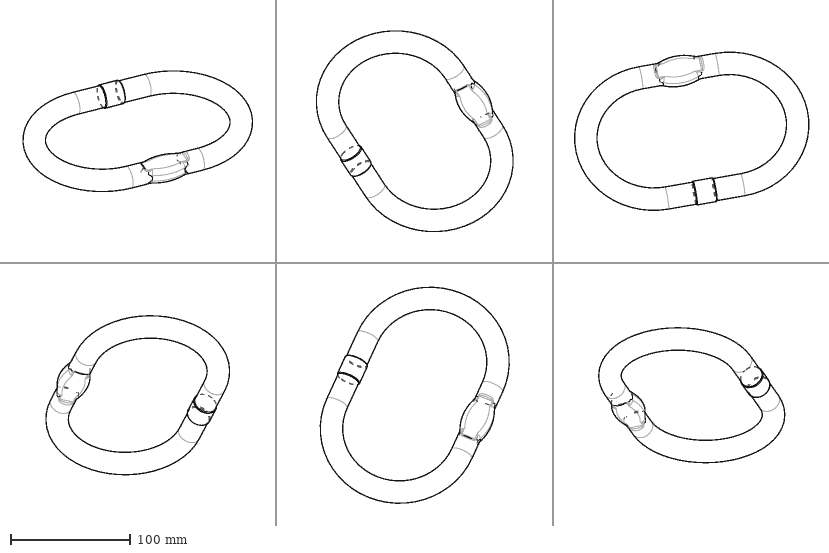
import math

import cadquery as cq

rod_diameter = 19.0
rod_radius = rod_diameter / 2
bend_radius = 57.0
straight_length = 65.0
half_straight = straight_length / 2

collar_diameter = 20.43
collar_length = 17.8

badge_half_width = 12.545
badge_thickness = 14.0
badge_side_radius = 37.5
badge_edge_radius = 4.2
badge_arc_half_length = 14.8
runout_radius = 9.0
runout_angle = 20.0

flat_half_length = 19.6
flat_floor_radius = 1.2
flat_rim_radius = 1.35


def make_ring():
    """Sweep the rod as two straight legs and two half-circle bends."""
    path = (
        cq.Workplane("XY")
        .moveTo(bend_radius, -half_straight)
        .lineTo(bend_radius, half_straight)
        .threePointArc((0, half_straight + bend_radius), (-bend_radius, half_straight))
        .lineTo(-bend_radius, -half_straight)
        .threePointArc((0, -half_straight - bend_radius), (bend_radius, -half_straight))
        .close()
    )
    profile = cq.Workplane("XZ", origin=(bend_radius, -half_straight, 0)).circle(rod_radius)
    return profile.sweep(path)


def make_collar():
    """Sleeve centred on the -X leg, its ends chamfered down to the rod surface."""
    collar_radius = collar_diameter / 2
    return (
        cq.Workplane("XZ", origin=(-bend_radius, 0, 0))
        .circle(collar_radius)
        .extrude(collar_length / 2, both=True)
        .faces("|Y")
        .chamfer(collar_radius - rod_radius)
    )


def make_badge():
    """Oval plate with bulging sides that run out into the rod, rounded along its side edges."""
    side_angle = math.asin(badge_arc_half_length / badge_side_radius)
    arc_end_x = badge_half_width - badge_side_radius * (1 - math.cos(side_angle))

    runout_x = arc_end_x + runout_radius * math.cos(side_angle)
    runout_y = badge_arc_half_length + runout_radius * math.sin(side_angle)

    def runout_point(angle):
        return (runout_x - runout_radius * math.cos(angle), runout_y - runout_radius * math.sin(angle))

    last_angle = side_angle - math.radians(runout_angle)
    mid_x, mid_y = runout_point((side_angle + last_angle) / 2)
    end_x, end_y = runout_point(last_angle)
    start_x, start_y = arc_end_x, badge_arc_half_length

    outline = (
        cq.Workplane("XY", origin=(bend_radius, 0, 0))
        .moveTo(end_x, -end_y)
        .threePointArc((mid_x, -mid_y), (start_x, -start_y))
        .threePointArc((badge_half_width, 0), (start_x, start_y))
        .threePointArc((mid_x, mid_y), (end_x, end_y))
        .lineTo(-end_x, end_y)
        .threePointArc((-mid_x, mid_y), (-start_x, start_y))
        .threePointArc((-badge_half_width, 0), (-start_x, -start_y))
        .threePointArc((-mid_x, -mid_y), (-end_x, -end_y))
        .close()
    )
    plate = outline.extrude(badge_thickness / 2, both=True)
    return plate.faces("|Z").edges("not |X").fillet(badge_edge_radius)


def make_flat_cutter(side):
    """Block that clears the rod above (side = 1) or below (side = -1) the badge face."""
    depth = rod_radius
    centre_z = side * (badge_thickness + depth) / 2
    floor_face = "<Z" if side > 0 else ">Z"
    return (
        cq.Workplane("XY")
        .box(rod_diameter, 2 * flat_half_length, depth)
        .faces(floor_face)
        .edges("|X")
        .fillet(flat_floor_radius)
        .translate((bend_radius, 0, centre_z))
    )


def cut_flat(ring, side):
    """Cut one flat into the +X leg and round the rim where it meets the rod."""
    with_flat = ring.cut(make_flat_cutter(side))
    zone_half_length = flat_half_length + flat_rim_radius
    rim_zone = cq.selectors.BoxSelector(
        (bend_radius - rod_radius, -zone_half_length, side * rod_radius / 2),
        (bend_radius + rod_radius, zone_half_length, side * rod_diameter),
    )
    rim = with_flat.edges(rim_zone).edges("not |X")
    return rim.fillet(flat_rim_radius)


ring = make_ring()
for side in (1, -1):
    ring = cut_flat(ring, side)

result = ring.union(make_collar()).union(make_badge())